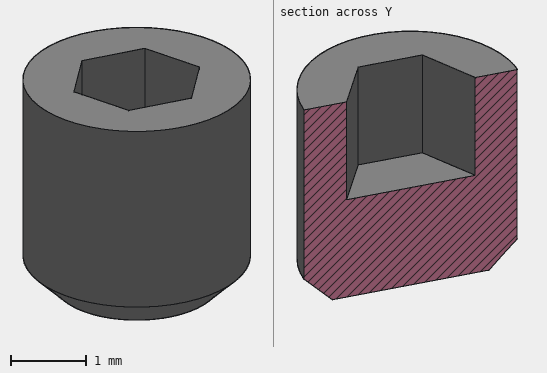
import cadquery as cq

diameter = 3.0
height = 3.0
tip_chamfer = 0.4
socket_across_corners = 1.8
socket_depth = height / 2

body = cq.Workplane("XY").circle(diameter / 2).extrude(height)
body = body.faces("<Z").chamfer(tip_chamfer)

socket = (
    cq.Workplane("XY", origin=(0, 0, height))
    .polygon(6, socket_across_corners)
    .extrude(-socket_depth)
)

result = body.cut(socket)